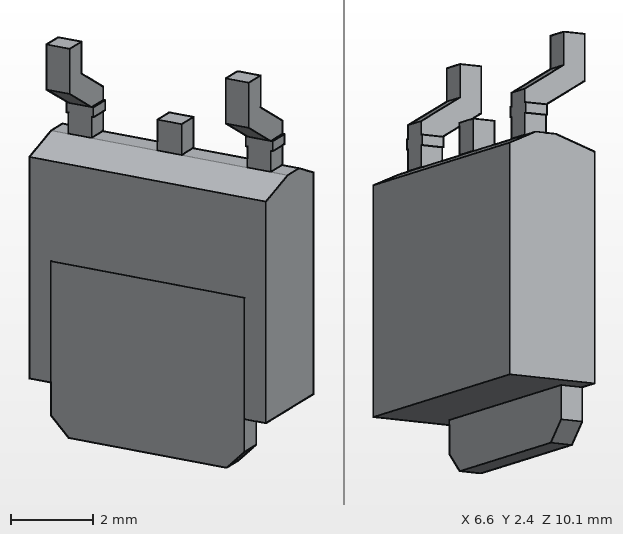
import cadquery as cq


body_width = 6.6
body_depth = 2.4
body_bottom = 1.35
shoulder_z = 7.1
body_top = 7.44
ridge_front_y = 1.1
ridge_back_y = 1.67

tab_width = 5.4
tab_thickness = 0.6
tab_top = 4.5
tab_chamfer = 0.5

lead_thickness = tab_thickness
lead_front_y = ridge_front_y
lead_back_y = lead_front_y + lead_thickness
lead_spacing = 5.0
lead_width = 0.65
center_lead_width = 0.68
lead_tip_z = 10.1
stub_width = 0.75
stub_bottom = 7.98
stub_top = 8.24
foot_bottom = 8.93
bend_rise = 0.34


def block(width, y_front, y_back, z_bottom, z_top):
    """Box centred on X = 0 between the given Y and Z limits."""
    depth = y_back - y_front
    height = z_top - z_bottom
    box = cq.Workplane("XY").box(width, depth, height, centered=(True, False, False))
    return box.translate((0, y_front, z_bottom))


def side_extrude(points, width):
    """Extrude a (Y, Z) outline along X, centred on X = 0."""
    return cq.Workplane("YZ").polyline(points).close().extrude(width / 2, both=True)


def make_tab():
    tab = block(tab_width, 0, tab_thickness, 0, tab_top)
    return tab.edges("|Y and <Z").chamfer(tab_chamfer)


def make_housing(tab):
    outline = [
        (0, body_bottom),
        (body_depth, body_bottom),
        (body_depth, shoulder_z),
        (ridge_back_y, body_top),
        (ridge_front_y, body_top),
        (0, shoulder_z),
    ]
    return side_extrude(outline, body_width).cut(tab)


def make_center_lead():
    return block(center_lead_width, lead_front_y, lead_back_y, body_top, stub_top)


def make_outer_lead(x):
    outline = [
        (lead_front_y, body_top),
        (lead_back_y, body_top),
        (lead_back_y, stub_top + bend_rise),
        (lead_thickness, foot_bottom + bend_rise),
        (lead_thickness, lead_tip_z),
        (0, lead_tip_z),
        (0, foot_bottom),
        (lead_front_y, stub_top),
    ]
    lead = side_extrude(outline, lead_width)
    stub = block(stub_width, lead_front_y, lead_back_y, stub_bottom, stub_top)
    return lead.union(stub).translate((x, 0, 0))


tab = make_tab()
housing = make_housing(tab)
center_lead = make_center_lead()
outer_leads = [make_outer_lead(side * lead_spacing / 2) for side in (-1, 1)]

result = cq.Compound.makeCompound(
    [housing.val(), tab.val(), center_lead.val(), *[lead.val() for lead in outer_leads]]
)